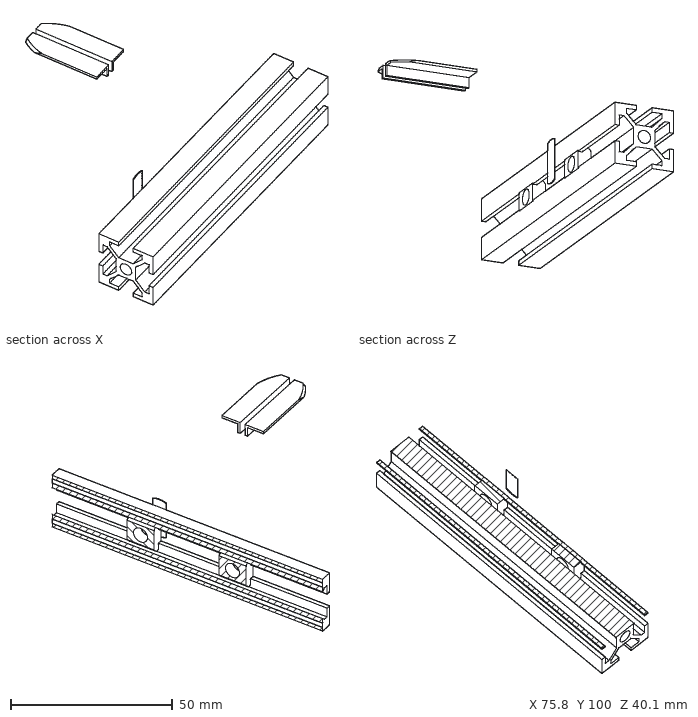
import cadquery as cq
import math

rail_length = 100.0
rail_width = 20.0
slot_opening = 5.3
lip_thickness = 1.5
cavity_width = 12.0
core_width = 7.2
web_offset = 0.95
bore_diameter = 4.2

nut_length = 10.0
nut_stem_width = 6.0
nut_head_width = 10.2
nut_depth = 4.5
nut_head_straight = 1.2
nut_hole_diameter = 5.0
nut_pitch = 34.0

fittings_y = -0.3

strip_width = 5.0
strip_height = 14.2
strip_end_rise = 0.5
strip_thickness = 0.3
strip_gap = 6.6

blade_length = 28.0
blade_width = 6.8
blade_height = 4.2
blade_wall = 0.9
blade_gap = 1.8
blade_tip_x = -65.8
blade_top_z = 30.1
tip_cut_length = 5.0
tip_cut_depth = 2.7
tip_radius = 19.0
tip_bevel = 0.8

rail_half = rail_width / 2
slot_shoulder = rail_half - lip_thickness
nut_positions = [fittings_y + nut_pitch / 2, fittings_y - nut_pitch / 2]
strip_y = nut_positions[1]


def extrude_along_y(points, length, y_centre=0.0):
    """Prism centred at y_centre from (x, z) points."""
    outline = cq.Workplane("XZ", origin=(0, y_centre, 0)).polyline(points).close()
    return outline.extrude(length / 2, both=True)


def mirrored_outline(points):
    """Close a list of (x, z) points by repeating it below the X axis."""
    return points + [(x, -z) for x, z in reversed(points)]


def make_slot():
    """T-slot cutter on the -X side."""
    core_half = core_width / 2
    cavity_half = cavity_width / 2
    upper_half = [
        (-rail_half, slot_opening / 2),
        (-slot_shoulder, slot_opening / 2),
        (-slot_shoulder, cavity_half),
        (-cavity_half - web_offset, cavity_half),
        (-core_half, core_half - web_offset),
    ]
    return extrude_along_y(mirrored_outline(upper_half), rail_length)


def make_nut_blank(y_centre):
    """T-nut without its hole."""
    stem_half = nut_stem_width / 2
    head_half = nut_head_width / 2
    bevel = nut_depth - lip_thickness - nut_head_straight
    inner_x = -rail_half + nut_depth
    upper_half = [
        (-rail_half, stem_half),
        (-slot_shoulder, stem_half),
        (-slot_shoulder, head_half),
        (inner_x - bevel, head_half),
        (inner_x, head_half - bevel),
    ]
    return extrude_along_y(mirrored_outline(upper_half), nut_length, y_centre)


def make_nut(y_centre):
    hole = (
        cq.Workplane("YZ", origin=(-rail_half, y_centre, 0))
        .circle(nut_hole_diameter / 2)
        .extrude(nut_depth)
    )
    return make_nut_blank(y_centre).cut(hole)


def make_rail():
    rail = cq.Workplane("XY").box(rail_width, rail_length, rail_width)
    slot = make_slot()
    for quarter in range(4):
        rail = rail.cut(slot.rotate((0, 0, 0), (0, 1, 0), 90 * quarter))
    bore = cq.Workplane("XZ").circle(bore_diameter / 2).extrude(rail_length / 2, both=True)
    rail = rail.cut(bore)
    for y_centre in nut_positions:
        rail = rail.cut(make_nut_blank(y_centre))
    return rail


def make_strip():
    side = strip_width / 2
    top = strip_height / 2
    shoulder = top - strip_end_rise
    return (
        cq.Workplane("YZ", origin=(-rail_half - strip_gap, strip_y, 0))
        .moveTo(-side, -shoulder)
        .threePointArc((0, -top), (side, -shoulder))
        .lineTo(side, shoulder)
        .threePointArc((0, top), (-side, shoulder))
        .close()
        .extrude(-strip_thickness)
    )


def make_tip_cutter(outer_y):
    """Corner block with a conical inner face, which rounds and bevels the blade tip."""
    chord = math.hypot(tip_cut_length, tip_cut_depth)
    to_centre = math.sqrt(tip_radius**2 - (chord / 2) ** 2)
    centre_x = blade_tip_x + tip_cut_length / 2 + to_centre * tip_cut_depth / chord
    centre_y = outer_y - tip_cut_depth / 2 - to_centre * tip_cut_length / chord
    flange_bottom = blade_top_z - blade_wall
    cone = cq.Solid.makeCone(
        tip_radius, tip_radius - tip_bevel, blade_wall, pnt=cq.Vector(centre_x, centre_y, flange_bottom)
    )
    corner = cq.Workplane("XY", origin=(blade_tip_x, outer_y, flange_bottom)).box(
        2 * tip_cut_length, 4 * tip_cut_depth, blade_wall, centered=(False, True, False)
    )
    return corner.cut(cq.Workplane(cone))


def make_blade():
    """Blade on the +Y side: a flat flange with a leg down its inner edge."""
    inner_y = fittings_y + blade_gap / 2
    outer_y = inner_y + blade_width
    section = [
        (inner_y, blade_top_z),
        (outer_y, blade_top_z),
        (outer_y, blade_top_z - blade_wall),
        (inner_y + blade_wall, blade_top_z - blade_wall),
        (inner_y + blade_wall, blade_top_z - blade_height),
        (inner_y, blade_top_z - blade_height),
    ]
    angle = cq.Workplane("YZ", origin=(blade_tip_x, 0, 0)).polyline(section).close().extrude(blade_length)
    return angle.cut(make_tip_cutter(outer_y))


rail = make_rail()
nuts = [make_nut(y_centre) for y_centre in nut_positions]
strip = make_strip()
left_blade = make_blade()
blades = [left_blade, left_blade.mirror("XZ", (0, fittings_y, 0))]

result = cq.Compound.makeCompound(
    [rail.val(), strip.val(), *[nut.val() for nut in nuts], *[blade.val() for blade in blades]]
)